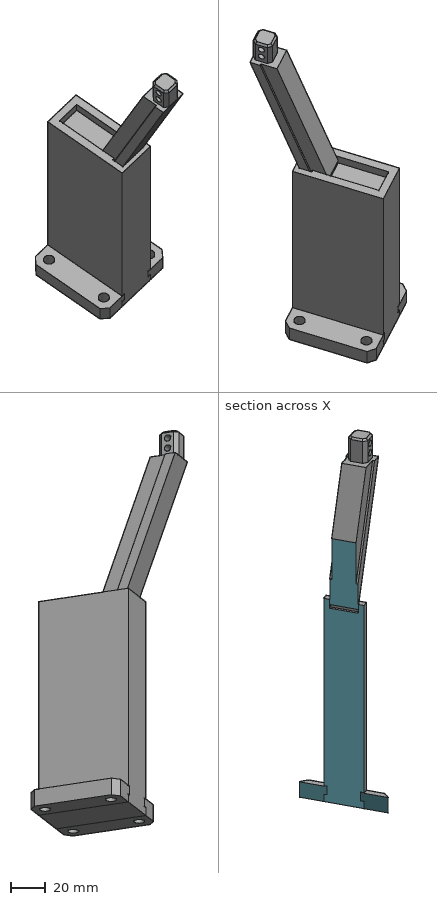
import cadquery as cq
import math

HOUSING_LENGTH = 56.0
HOUSING_WIDTH = 25.0
HOUSING_HEIGHT = 130.0
SOCKET_WALL = 4.7
SOCKET_DEPTH = 5.6

FOOT_SPAN = 55.0
FOOT_HEIGHT = 10.1
TONGUE_DEPTH = 2.0
TONGUE_HEIGHT = 5.2
FOOT_CHAMFER = 4.0
MOUNT_HOLE_DIAMETER = 6.3
MOUNT_HOLE_INSET = 7.5

LEVER_TOP_RIGHT = 83.7
LEVER_TOP = 210.0
LEVER_LENGTH = 16.2
LEVER_FRONT_LENGTH = 6.3
LEVER_REAR_WIDTH = 15.0
LEVER_FRONT_WIDTH = 17.5
LEVER_ANGLE = 20.8
LEVER_FOOT_HEIGHT = 2.0

TIP_TOP = 225
TIP_WIDTH = 12.0
TIP_EDGE_CHAMFER = 2.2
TIP_TOP_CHAMFER = 1.17
TIP_HOLE_DIAMETER = 3.8
TIP_HOLE_SPACING = 6.0
TIP_HOLE_DROP = 4.5

socket_floor = HOUSING_HEIGHT - SOCKET_DEPTH
bend_height = socket_floor + LEVER_FOOT_HEIGHT
lever_slope = math.tan(math.radians(LEVER_ANGLE))
lever_lean = (LEVER_TOP - bend_height) * lever_slope
lever_foot_right = LEVER_TOP_RIGHT - lever_lean
lever_foot_left = lever_foot_right - LEVER_LENGTH
lever_foot_step = lever_foot_right - LEVER_FRONT_LENGTH
socket_right = lever_foot_right + (HOUSING_HEIGHT - bend_height) * lever_slope


def block(x_min, x_max, width, z_min, z_max):
    """Box centred on Y = 0."""
    return cq.Workplane("XY").box(
        x_max - x_min, width, z_max - z_min, centered=(False, True, False)
    ).translate((x_min, 0, z_min))


def make_housing():
    housing = block(0, HOUSING_LENGTH, HOUSING_WIDTH, 0, HOUSING_HEIGHT)
    rear_socket = block(SOCKET_WALL, socket_right, LEVER_REAR_WIDTH, socket_floor, HOUSING_HEIGHT)
    front_socket = block(lever_foot_step, socket_right, LEVER_FRONT_WIDTH, socket_floor, HOUSING_HEIGHT)
    groove_layer = block(
        0, HOUSING_LENGTH, HOUSING_WIDTH, FOOT_HEIGHT - TONGUE_HEIGHT, FOOT_HEIGHT
    )
    web = block(
        0, HOUSING_LENGTH, HOUSING_WIDTH - 2 * TONGUE_DEPTH, FOOT_HEIGHT - TONGUE_HEIGHT, FOOT_HEIGHT
    )
    grooves = groove_layer.cut(web)
    return housing.cut(rear_socket).cut(front_socket).cut(grooves)


def make_foot(side):
    """Foot plate on the +Y side (side = 1) or the -Y side (side = -1)."""
    inner = HOUSING_WIDTH / 2
    outer = FOOT_SPAN / 2
    plate = (
        cq.Workplane("XY")
        .box(HOUSING_LENGTH, outer - inner, FOOT_HEIGHT, centered=False)
        .translate((0, inner, 0))
        .edges("|Z and >Y")
        .chamfer(FOOT_CHAMFER)
    )
    tongue = (
        cq.Workplane("XY")
        .box(HOUSING_LENGTH, TONGUE_DEPTH, TONGUE_HEIGHT, centered=False)
        .translate((0, inner - TONGUE_DEPTH, FOOT_HEIGHT - TONGUE_HEIGHT))
    )
    hole_y = outer - MOUNT_HOLE_INSET
    holes = (
        cq.Workplane("XY")
        .pushPoints([(MOUNT_HOLE_INSET, hole_y), (HOUSING_LENGTH - MOUNT_HOLE_INSET, hole_y)])
        .circle(MOUNT_HOLE_DIAMETER / 2)
        .extrude(FOOT_HEIGHT)
    )
    foot = plate.union(tongue).cut(holes)
    return foot if side > 0 else foot.mirror("XZ")


def leaning_bar(foot_left, foot_right, width):
    """Bar with a short upright foot that leans toward +X above the bend."""
    return (
        cq.Workplane("XZ")
        .moveTo(foot_left, socket_floor)
        .lineTo(foot_right, socket_floor)
        .lineTo(foot_right, bend_height)
        .lineTo(foot_right + lever_lean, LEVER_TOP)
        .lineTo(foot_left + lever_lean, LEVER_TOP)
        .lineTo(foot_left, bend_height)
        .close()
        .extrude(width / 2, both=True)
    )


def make_lever():
    rear = leaning_bar(lever_foot_left, lever_foot_right, LEVER_REAR_WIDTH)
    front = leaning_bar(lever_foot_step, lever_foot_right, LEVER_FRONT_WIDTH)
    return rear.union(front)


def make_tip():
    tip = (
        block(LEVER_TOP_RIGHT - TIP_WIDTH, LEVER_TOP_RIGHT, TIP_WIDTH, LEVER_TOP, TIP_TOP)
        .edges("|Z")
        .chamfer(TIP_EDGE_CHAMFER)
        .faces(">Z")
        .edges()
        .chamfer(TIP_TOP_CHAMFER)
    )
    hole_x = LEVER_TOP_RIGHT - TIP_WIDTH / 2
    upper_hole_z = TIP_TOP - TIP_HOLE_DROP
    holes = (
        cq.Workplane("XZ")
        .pushPoints([(hole_x, upper_hole_z), (hole_x, upper_hole_z - TIP_HOLE_SPACING)])
        .circle(TIP_HOLE_DIAMETER / 2)
        .extrude(TIP_WIDTH / 2, both=True)
    )
    return tip.cut(holes)


housing = make_housing()
feet = [make_foot(side) for side in (1, -1)]
lever = make_lever()
tip = make_tip()

result = cq.Compound.makeCompound(
    [housing.val(), *[foot.val() for foot in feet], lever.val(), tip.val()]
)